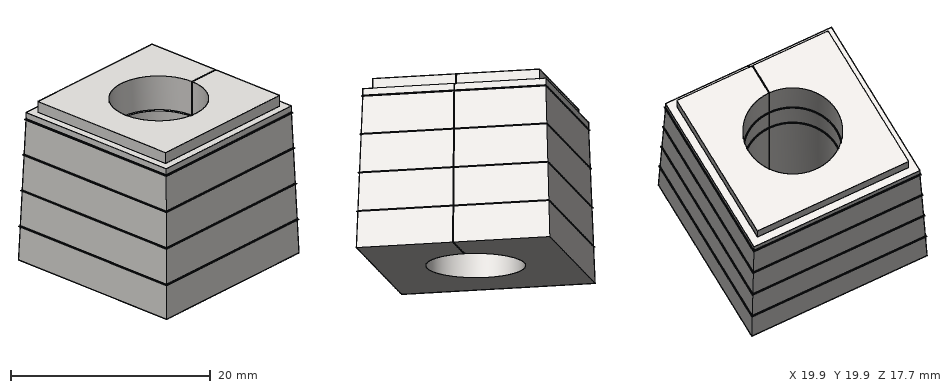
import cadquery as cq

base_width = 19.9
body_height = 15.7

collar_width = 18.83
collar_top = 16.5
total_height = 17.7
cap_width = 17.15

lip_height = 0.1
lip_projection = 0.1
lip_pitch = 4.0
first_lip_z = 3.75
outer_lip_count = 3
collar_lip_height = 0.13

bore_diameter = 10.0
bore_lip_diameter = 9.8
bore_lip_height = 0.15
bore_lip_pitch = 3.0
bore_lip_count = 2
top_bore_lip_z = 13.85

slit_width = 0.1


def body_width(z):
    """Width of the tapered body at height z."""
    return base_width + (collar_width - base_width) * z / body_height


def square_block(width, z_bottom, z_top):
    """Upright square block centred on the Z axis."""
    return cq.Workplane("XY").workplane(offset=z_bottom).rect(width, width).extrude(z_top - z_bottom)


def square_frustum(bottom_width, top_width, z_bottom, z_top):
    """Square block that narrows from the bottom width to the top width."""
    return (
        cq.Workplane("XY")
        .workplane(offset=z_bottom)
        .rect(bottom_width, bottom_width)
        .workplane(offset=z_top - z_bottom)
        .rect(top_width, top_width)
        .loft(ruled=True, combine=True)
    )


def outer_lip(z_bottom, height):
    """Lip with a flat underside that slopes back to the body at its top."""
    z_top = z_bottom + height
    bottom_width = body_width(z_bottom) + 2 * lip_projection
    return square_frustum(bottom_width, body_width(z_top), z_bottom, z_top)


def make_block():
    """Tapered body with its lips, collar and cap."""
    block = square_frustum(base_width, collar_width, 0, body_height)
    for index in range(outer_lip_count):
        block = block.union(outer_lip(first_lip_z + index * lip_pitch, lip_height))
    block = block.union(square_block(collar_width, body_height, collar_top))
    block = block.union(outer_lip(body_height, collar_lip_height))
    return block.union(square_block(cap_width, collar_top, total_height))


def make_bore():
    """Cutter for the through bore, leaving a pointed ring-shaped lip at each lip height."""
    bore = cq.Workplane("XY").circle(bore_diameter / 2).extrude(total_height)
    for index in range(bore_lip_count):
        lip_z = top_bore_lip_z - index * bore_lip_pitch
        ring = (
            cq.Workplane("XZ")
            .moveTo(bore_lip_diameter / 2, lip_z)
            .lineTo(bore_diameter / 2, lip_z - bore_lip_height / 2)
            .lineTo(bore_diameter / 2, lip_z + bore_lip_height / 2)
            .close()
            .revolve(360, (0, 0, 0), (0, 1, 0))
        )
        bore = bore.cut(ring)
    return bore


def make_slit():
    """Thin full-height cutter from the bore axis out through the +Y face."""
    return cq.Workplane("XY").box(slit_width, base_width, total_height, centered=(True, False, False))


result = make_block().cut(make_bore()).cut(make_slit())